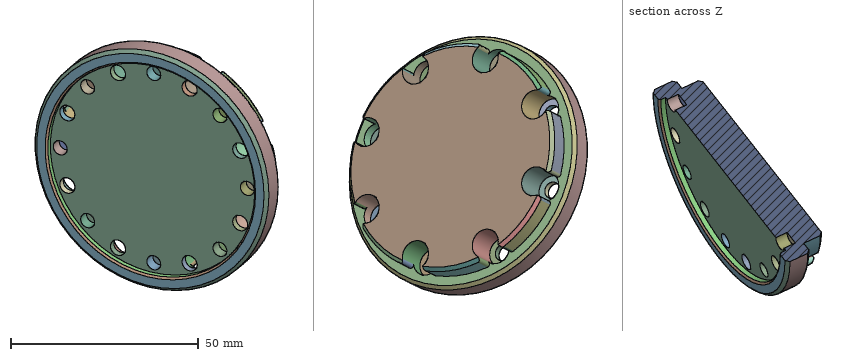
import cadquery as cq

flange_radius = 35.0
flange_thickness = 7.5
chamfer = 1.0

boss_radius = 31.5
boss_height = 6.0
overall_thickness = flange_thickness + boss_height

recess_radius = 30.95
recess_depth = 2.0
recess_rim_chamfer = 0.55

hole_count = 8
hole_pitch_angle = 360 / hole_count
hole_ring_radius = 28.0
through_hole_diameter = 4.5
blind_hole_diameter = 4.1
blind_hole_depth = 3.5

notch_radius = 4.0
notch_floor_thickness = 2.0
notch_floor_y = recess_depth + notch_floor_thickness
notch_depth = overall_thickness - notch_floor_y
notch_corner_radius = 0.85

blind_start_angle = 0
through_start_angle = hole_pitch_angle / 2


def plane_at(y):
    """Plane square to the part axis at the given Y, extruding towards +Y."""
    return cq.Plane(origin=(0, y, 0), xDir=(1, 0, 0), normal=(0, 1, 0))


def disc(radius, y, length):
    return cq.Workplane(plane_at(y)).circle(radius).extrude(length)


def ring_of_cylinders(radius, y, length, start_angle):
    """Equally spaced cylinders centred on the hole ring."""
    return (
        cq.Workplane(plane_at(y))
        .polarArray(hole_ring_radius, start_angle, 360, hole_count)
        .circle(radius)
        .extrude(length)
    )


def make_flange():
    plain = disc(flange_radius, 0, flange_thickness)
    return plain.faces("<Y or >Y").edges().chamfer(chamfer)


def make_boss(notches):
    plain = disc(boss_radius, flange_thickness, boss_height)
    chamfered = plain.faces(">Y").edges().chamfer(chamfer)
    return chamfered.cut(notches).edges("|Y").fillet(notch_corner_radius)


def make_recess():
    rim_radius = recess_radius + recess_rim_chamfer
    half_section = [
        (0, 0),
        (rim_radius, 0),
        (recess_radius, recess_rim_chamfer),
        (recess_radius, recess_depth),
        (0, recess_depth),
    ]
    return cq.Workplane("XY").polyline(half_section).close().revolve(360, (0, 0, 0), (0, 1, 0))


notches = ring_of_cylinders(notch_radius, notch_floor_y, notch_depth, through_start_angle)
through_holes = ring_of_cylinders(
    through_hole_diameter / 2, 0, overall_thickness, through_start_angle
)
blind_holes = ring_of_cylinders(
    blind_hole_diameter / 2, recess_depth, blind_hole_depth, blind_start_angle
)

result = (
    make_flange()
    .cut(notches)
    .union(make_boss(notches))
    .cut(make_recess())
    .cut(through_holes)
    .cut(blind_holes)
)